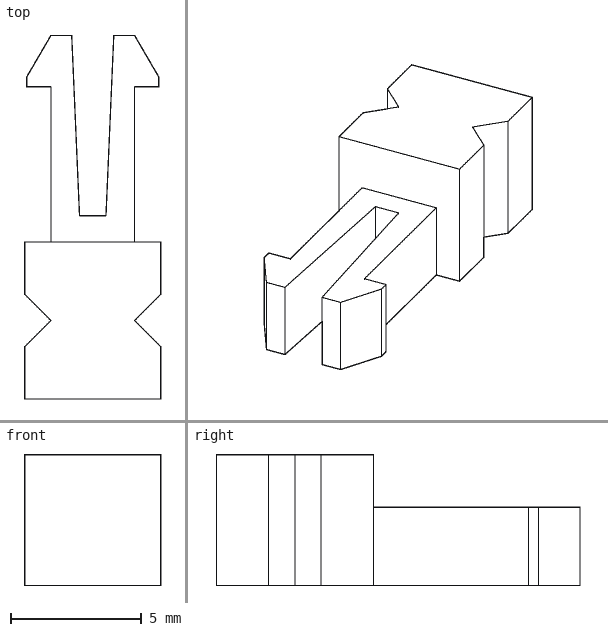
import cadquery as cq

total_length = 13.9
block_width = 5.2
block_height = 5.0
block_length = 6.0

notch_depth = 1.0
notch_half_length = notch_depth
notch_center_y = block_length / 2

clip_height = 3.0
stem_width = 3.2
hook_width = 5.06
hook_length = 1.97
hook_edge_length = 0.38
slot_mouth_width = 1.6
slot_floor_width = 1.0
solid_stem_length = 1.0
slot_floor_y = block_length + solid_stem_length


def make_block():
    """Rectangular block with its front face on y = 0."""
    return cq.Workplane("XY").box(
        block_width, block_length, block_height, centered=(True, False, False)
    )


def make_notch(side):
    """Full-height V-notch; side is -1 or +1 along X."""
    edge_x = side * block_width / 2
    return (
        cq.Workplane("XY")
        .moveTo(edge_x, notch_center_y - notch_half_length)
        .lineTo(edge_x - side * notch_depth, notch_center_y)
        .lineTo(edge_x, notch_center_y + notch_half_length)
        .close()
        .extrude(block_height)
    )


def make_clip():
    """Stem ending in two tapered hooks, before it is split."""
    hook_base_y = total_length - hook_length
    right_side = [
        (stem_width / 2, block_length),
        (stem_width / 2, hook_base_y),
        (hook_width / 2, hook_base_y),
        (hook_width / 2, hook_base_y + hook_edge_length),
        (stem_width / 2, total_length),
    ]
    left_side = [(-x, y) for x, y in reversed(right_side)]
    return cq.Workplane("XY").polyline(right_side + left_side).close().extrude(clip_height)


def make_slot():
    """Tapered slot that opens at the tip."""
    return (
        cq.Workplane("XY")
        .moveTo(-slot_mouth_width / 2, total_length)
        .lineTo(-slot_floor_width / 2, slot_floor_y)
        .lineTo(slot_floor_width / 2, slot_floor_y)
        .lineTo(slot_mouth_width / 2, total_length)
        .close()
        .extrude(clip_height)
    )


body = make_block()
for side in (-1, 1):
    body = body.cut(make_notch(side))
clip = make_clip().cut(make_slot())

result = body.union(clip)